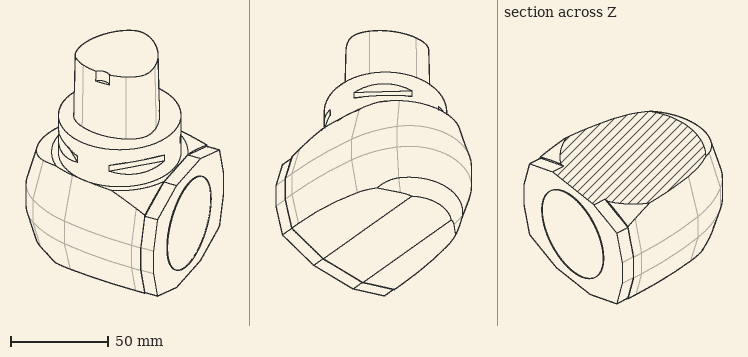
import cadquery as cq
import math


def tan_deg(angle):
    return math.tan(math.radians(angle))



SHANK_LENGTH = 38.0
SHANK_BASE_RADIUS = 22.05
SHANK_TIP_RADIUS = 21.3
LOBE_COUNT = 3
LOBE_HEIGHT = 1.6
LOBE_HEADING = 90.0
LOBE_HALF_SPAN = 37.0
FACE_STEPS = 8

NOTCH_RADIUS = 5.3
NOTCH_HEIGHT = 6.0
NOTCH_INNER_Y = -17.8

COLLAR_RADIUS = 63.0 / 2
COLLAR_HEIGHT = 23.0
GROOVE_COUNT = 4
GROOVE_FLAT_DISTANCE = 27.75
GROOVE_FLAT_HEIGHT = 3.6
GROOVE_Z = -11.85
GROOVE_FLANK_ANGLE = 30.0

HEAD_HALF_HEIGHT = 32.0
HEAD_AXIS_Z = -COLLAR_HEIGHT - HEAD_HALF_HEIGHT
HEAD_TOP_Z = HEAD_AXIS_Z + HEAD_HALF_HEIGHT
HEAD_BOTTOM_Z = HEAD_AXIS_Z - HEAD_HALF_HEIGHT
BAND_HALF_HEIGHT = 7.0
BAND_TOP_Z = HEAD_AXIS_Z + BAND_HALF_HEIGHT
BAND_BOTTOM_Z = HEAD_AXIS_Z - BAND_HALF_HEIGHT
WALL_TAPER = 15.0
TAPER_HEIGHT = HEAD_HALF_HEIGHT - BAND_HALF_HEIGHT
TAPER_INSET = TAPER_HEIGHT * tan_deg(WALL_TAPER)
HEAD_NOSE_X = -50.0
HEAD_END_X = 32.25
HEAD_WIDTH = 80.65
HEAD_HALF_WIDTH = HEAD_WIDTH / 2

NOSE_RADIUS = 32.0
CHEEK_RADIUS = 60.0
SIDE_RADIUS = 200.0
STRAIGHT_START_X = 27.0

TOP_CONE_RADIUS = 35.0
TOP_CONE_SLOPE = 30.0

SHOULDER_HALF_HEIGHT = 24.0
SHOULDER_DROP = SHOULDER_HALF_HEIGHT - BAND_HALF_HEIGHT
SHOULDER_INSET = SHOULDER_DROP * tan_deg(WALL_TAPER)
SHOULDER_RISE = HEAD_HALF_HEIGHT - SHOULDER_HALF_HEIGHT
NOSE_CHAMFER_ANGLE = 35.0
ROOF_SLOPE = 20.0

FLANGE_INSET = 0.3
FLANGE_END_X = 39.5
PAD_RADIUS = 50.0 / 2
PAD_END_X = 40.0


def direction(start, end):
    length = math.dist(start, end)
    return ((end[0] - start[0]) / length, (end[1] - start[1]) / length)


def along(center, heading, distance):
    return (center[0] + heading[0] * distance, center[1] + heading[1] * distance)


def mirrored(point):
    return (point[0], -point[1])


NOSE_CENTER = (HEAD_NOSE_X + NOSE_RADIUS, 0.0)
SIDE_CENTER = (STRAIGHT_START_X, HEAD_HALF_WIDTH - SIDE_RADIUS)


def find_cheek_center():
    """Center of the cheek arc, tangent to both the nose arc and the side arc."""
    from_nose = CHEEK_RADIUS - NOSE_RADIUS
    from_side = SIDE_RADIUS - CHEEK_RADIUS
    span = math.dist(NOSE_CENTER, SIDE_CENTER)
    forward = (from_nose**2 - from_side**2 + span**2) / (2 * span)
    sideways = math.sqrt(from_nose**2 - forward**2)
    heading = direction(NOSE_CENTER, SIDE_CENTER)
    normal = (-heading[1], heading[0])
    return along(along(NOSE_CENTER, heading, forward), normal, sideways)


CHEEK_CENTER = find_cheek_center()
NOSE_END_NORMAL = direction(CHEEK_CENTER, NOSE_CENTER)
CHEEK_END_NORMAL = direction(SIDE_CENTER, CHEEK_CENTER)


def mid_normal(first, second):
    """Unit vector halfway between two unit vectors."""
    return direction((0.0, 0.0), (first[0] + second[0], first[1] + second[1]))


def head_outline(inset, height):
    """Plan outline of the head moved inward by inset, as a sketch at a height."""
    nose_radius = NOSE_RADIUS - inset
    cheek_radius = CHEEK_RADIUS - inset
    side_radius = SIDE_RADIUS - inset
    half_width = HEAD_HALF_WIDTH - inset

    tip = (HEAD_NOSE_X + inset, 0.0)
    nose_end = along(NOSE_CENTER, NOSE_END_NORMAL, nose_radius)
    cheek_mid = along(CHEEK_CENTER, mid_normal(NOSE_END_NORMAL, CHEEK_END_NORMAL), cheek_radius)
    cheek_end = along(CHEEK_CENTER, CHEEK_END_NORMAL, cheek_radius)
    side_mid = along(SIDE_CENTER, mid_normal(CHEEK_END_NORMAL, (0.0, 1.0)), side_radius)
    side_end = (STRAIGHT_START_X, half_width)
    corner = (HEAD_END_X, half_width)

    return (
        cq.Workplane("XY", origin=(0, 0, height))
        .moveTo(*mirrored(corner))
        .lineTo(*mirrored(side_end))
        .threePointArc(mirrored(side_mid), mirrored(cheek_end))
        .threePointArc(mirrored(cheek_mid), mirrored(nose_end))
        .threePointArc(tip, nose_end)
        .threePointArc(cheek_mid, cheek_end)
        .threePointArc(side_mid, side_end)
        .lineTo(*corner)
        .close()
    )


def nose_outline(inset, height):
    """Nose arc moved inward by inset, carried on by its tangent lines to the head end."""
    nose_end = along(NOSE_CENTER, NOSE_END_NORMAL, NOSE_RADIUS - inset)
    tangent_slope = -NOSE_END_NORMAL[0] / NOSE_END_NORMAL[1]
    corner = (HEAD_END_X, nose_end[1] + (HEAD_END_X - nose_end[0]) * tangent_slope)
    return (
        cq.Workplane("XY", origin=(0, 0, height))
        .moveTo(*mirrored(corner))
        .lineTo(*mirrored(nose_end))
        .threePointArc((HEAD_NOSE_X + inset, 0.0), nose_end)
        .lineTo(*corner)
        .close()
    )


def ruled_solid(first, second):
    return cq.Workplane(cq.Solid.makeLoft([first.wires().val(), second.wires().val()], True))


def end_profile():
    """Twelve-sided section of the head at its output end, centered on the head axis."""
    shoulder_half_width = HEAD_HALF_WIDTH - SHOULDER_INSET
    crest_half_width = shoulder_half_width - SHOULDER_RISE / tan_deg(ROOF_SLOPE)
    quarter = [
        (HEAD_HALF_WIDTH, BAND_HALF_HEIGHT),
        (shoulder_half_width, SHOULDER_HALF_HEIGHT),
        (crest_half_width, HEAD_HALF_HEIGHT),
    ]
    upper = quarter + [(-y, z) for y, z in reversed(quarter)]
    lower = [(-y, -z) for y, z in upper]
    return cq.Workplane("YZ", origin=(0, 0, HEAD_AXIS_Z)).polyline(upper + lower).close()


def lobe_support(mean_radius, from_lobe):
    """Distance from the axis to the tangent line, and its rate of change, at a normal angle."""
    phase = math.radians(LOBE_COUNT * from_lobe)
    support = mean_radius + LOBE_HEIGHT * math.cos(phase)
    slope = -LOBE_COUNT * LOBE_HEIGHT * math.sin(phase)
    return support, slope


def make_shank():
    def section(mean_radius, height):
        def boundary_point(from_lobe):
            support, slope = lobe_support(mean_radius, from_lobe)
            cosine = math.cos(math.radians(from_lobe + LOBE_HEADING))
            sine = math.sin(math.radians(from_lobe + LOBE_HEADING))
            return (support * cosine - slope * sine, support * sine + slope * cosine)

        def boundary_tangent(from_lobe):
            heading = math.radians(from_lobe + LOBE_HEADING)
            return cq.Vector(-math.sin(heading), math.cos(heading))

        outline = cq.Workplane("XY", origin=(0, 0, height)).moveTo(*boundary_point(-LOBE_HALF_SPAN))
        pitch = 360 / LOBE_COUNT
        for lobe in range(LOBE_COUNT):
            lobe_start = pitch * lobe - LOBE_HALF_SPAN
            lobe_end = pitch * lobe + LOBE_HALF_SPAN
            for start, end in [(lobe_start, lobe_end), (lobe_end, lobe_start + pitch)]:
                step = (end - start) / FACE_STEPS
                points = [boundary_point(start + step * count) for count in range(1, FACE_STEPS + 1)]
                tangents = [boundary_tangent(start), boundary_tangent(end)]
                outline = outline.spline(points, tangents=tangents, includeCurrent=True)
        return outline.close()

    shank = ruled_solid(section(SHANK_BASE_RADIUS, 0), section(SHANK_TIP_RADIUS, SHANK_LENGTH))
    notch = (
        cq.Workplane("XY", origin=(0, 0, SHANK_LENGTH - NOTCH_HEIGHT))
        .center(0, NOTCH_INNER_Y - NOTCH_RADIUS)
        .circle(NOTCH_RADIUS)
        .extrude(NOTCH_HEIGHT)
    )
    return shank.cut(notch)


def make_collar():
    collar = cq.Workplane("XY").circle(COLLAR_RADIUS).extrude(-COLLAR_HEIGHT)
    flat_half = GROOVE_FLAT_HEIGHT / 2
    mouth_half = flat_half + (COLLAR_RADIUS - GROOVE_FLAT_DISTANCE) * tan_deg(GROOVE_FLANK_ANGLE)
    groove = (
        cq.Workplane("XZ", origin=(0, 0, GROOVE_Z))
        .moveTo(GROOVE_FLAT_DISTANCE, -flat_half)
        .lineTo(COLLAR_RADIUS, -mouth_half)
        .lineTo(COLLAR_RADIUS, mouth_half)
        .lineTo(GROOVE_FLAT_DISTANCE, flat_half)
        .close()
        .extrude(COLLAR_RADIUS, both=True)
    )
    spacing = 360 / GROOVE_COUNT
    for index in range(GROOVE_COUNT):
        angle = spacing * (index + 0.5)
        collar = collar.cut(groove.rotate((0, 0, 0), (0, 0, 1), angle))
    return collar


def make_upper_head():
    """Tapered upper part of the head, trimmed by the cone around the shank axis."""
    upper = ruled_solid(
        head_outline(0, BAND_TOP_Z),
        head_outline(TAPER_INSET, HEAD_TOP_Z),
    )
    cone_base_radius = TOP_CONE_RADIUS + TAPER_HEIGHT / tan_deg(TOP_CONE_SLOPE)
    cone = cq.Workplane(
        cq.Solid.makeCone(cone_base_radius, TOP_CONE_RADIUS, TAPER_HEIGHT, cq.Vector(0, 0, BAND_TOP_Z))
    )
    return upper.intersect(cone)


def make_lower_head():
    """Tapered lower part of the head, trimmed by the sloping sides and the nose chamfer."""
    lower = ruled_solid(
        head_outline(0, BAND_BOTTOM_Z),
        head_outline(TAPER_INSET, HEAD_BOTTOM_Z),
    )
    side_trim = end_profile().extrude(HEAD_END_X - HEAD_NOSE_X).translate((HEAD_NOSE_X, 0, 0))

    chamfer_slope = tan_deg(NOSE_CHAMFER_ANGLE)
    nose_trim = ruled_solid(
        nose_outline(SHOULDER_INSET - SHOULDER_DROP * chamfer_slope, BAND_BOTTOM_Z),
        nose_outline(SHOULDER_INSET + SHOULDER_RISE * chamfer_slope, HEAD_BOTTOM_Z),
    )
    return lower.intersect(side_trim).intersect(nose_trim)


def make_head():
    band = head_outline(0, BAND_BOTTOM_Z).extrude(2 * BAND_HALF_HEIGHT)
    return band.union(make_upper_head()).union(make_lower_head())


def make_flange():
    flange = (
        end_profile()
        .offset2D(-FLANGE_INSET, "intersection")
        .extrude(FLANGE_END_X - HEAD_END_X)
        .translate((HEAD_END_X, 0, 0))
    )
    pad = (
        cq.Workplane("YZ", origin=(FLANGE_END_X, 0, HEAD_AXIS_Z))
        .circle(PAD_RADIUS)
        .extrude(PAD_END_X - FLANGE_END_X)
    )
    return flange.union(pad)


result = make_head().union(make_collar()).union(make_shank()).union(make_flange())